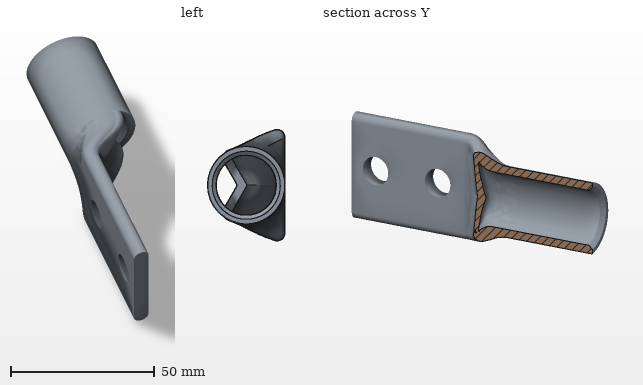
import cadquery as cq
import math


total_length = 101.4
barrel_length = 35.0
neck_end = 54.7

barrel_radius = 13.5
bore_radius = 10.4
mouth_radius = 11.9
mouth_depth = 1.5

palm_width = 38.8
palm_thickness = 5.5
hole_diameter = 10.3
hole_spacing = 25.3
first_hole_x = 66.3
hole_count = 2

keel_edge_y = -5.3
shoulder_y = 5.2
roof_angle = math.radians(60)
outer_valley_y = 3.1
inner_valley_y = -0.3
roof_edge_z = 7.8
crest_y = 8.1
crest_z = 9.7
valley_half_width = 0.5

seam_gap = 0.2
shoulder_angle = 45
roof_delay = 1.3
neck_sections = 7
straight_tolerance = 1.03e-06

palm_half_width = palm_width / 2
edge_radius = palm_thickness / 2
palm_back_y = -barrel_radius
palm_middle_y = palm_back_y + edge_radius
palm_front_y = palm_back_y + palm_thickness
palm_flat_z = palm_half_width - edge_radius



def palm_edge(degrees):
    """Point on the round +Z edge of the palm, at an angle up from the mid-plane towards +Y."""
    angle = math.radians(degrees)
    return (palm_middle_y + edge_radius * math.sin(angle), palm_flat_z + edge_radius * math.cos(angle))


def on_circle(radius, y):
    """Point (y, z) on the +Z half of a circle about the barrel axis."""
    return (y, math.sqrt(radius**2 - y**2))


def roof_y(valley_y, z):
    """Y of the sloping roof plane at height z."""
    return valley_y + z / math.tan(roof_angle)


def steady(t):
    """Blend from 0 to 1 that starts and ends level."""
    return t * t * (3 - 2 * t)


def delayed(t):
    """Blend from 0 to 1 that stays longer at its start, so the roof drops late."""
    return steady(t**roof_delay)


def mix(start, end, blend):
    """Point that is the given share of the way from start to end."""
    return tuple(a + (b - a) * blend for a, b in zip(start, end))


def midpoint(a, b):
    return mix(a, b, 0.5)


def arc_middle(radius, a, b):
    """Point halfway along the arc from a to b about the barrel axis."""
    angle = (math.atan2(a[1], a[0]) + math.atan2(b[1], b[0])) / 2
    return (radius * math.cos(angle), radius * math.sin(angle))


def section_wire(half, x):
    """Closed wire at x from the (y, z) points of its +Z half, listed from keel to valley.

    The keel point is the middle of the first edge, and arc ends and arc middles then alternate.
    """
    other_half = [(y, -z) for y, z in reversed(half[1:-1])]
    path = half[1:] + other_half + half[:2]
    points = [cq.Vector(x, y, z) for y, z in path]
    edges = []
    for start, middle, end in zip(points[0::2], points[1::2], points[2::2]):
        is_straight = (middle - start).cross(end - start).Length < straight_tolerance
        if is_straight:
            edges.append(cq.Edge.makeLine(start, end))
        else:
            edges.append(cq.Edge.makeThreePointArc(start, middle, end))
    return cq.Wire.assembleEdges(edges)


def neck_loft(tracks):
    """Loft whose section points each travel from a barrel point to a palm point by their own blend."""
    wires = []
    for i in range(neck_sections):
        t = i / (neck_sections - 1)
        half = [mix(barrel_point, palm_point, blend(t)) for barrel_point, palm_point, blend in tracks]
        wires.append(section_wire(half, barrel_length + (neck_end - barrel_length) * t))
    return cq.Workplane(cq.Solid.makeLoft(wires))


def neck_body():
    """Outside of the neck: keel, round sides, rounded crests and V roof, flattening to the palm."""
    keel_edge = on_circle(barrel_radius, keel_edge_y)
    shoulder = on_circle(barrel_radius, shoulder_y)
    side = arc_middle(barrel_radius, keel_edge, shoulder)
    roof_edge = (roof_y(outer_valley_y, roof_edge_z), roof_edge_z)
    valley_edge = (roof_y(outer_valley_y, valley_half_width), valley_half_width)
    valley = (roof_y(outer_valley_y, valley_half_width / 2), 0)
    palm_roof_edge = (palm_front_y, palm_flat_z)
    palm_valley_edge = (palm_front_y, valley_half_width)
    return neck_loft([
        ((-barrel_radius, 0), (palm_back_y, 0), steady),
        (keel_edge, (palm_back_y, palm_flat_z), steady),
        (side, palm_edge((shoulder_angle - 90) / 2), steady),
        (shoulder, palm_edge(shoulder_angle), delayed),
        ((crest_y, crest_z), palm_edge((shoulder_angle + 90) / 2), delayed),
        (roof_edge, palm_roof_edge, delayed),
        (midpoint(roof_edge, valley_edge), midpoint(palm_roof_edge, palm_valley_edge), delayed),
        (valley_edge, palm_valley_edge, delayed),
        (valley, (palm_front_y, 0), delayed),
    ])


def neck_cavity():
    """Inside of the neck: the bore under its V roof, closing to a thin seam inside the palm end."""
    chord_middle = -inner_valley_y * math.cos(roof_angle)
    half_chord = math.sqrt(bore_radius**2 - (inner_valley_y * math.sin(roof_angle))**2)
    corner_z = (chord_middle + half_chord) * math.sin(roof_angle)
    corner = (roof_y(inner_valley_y, corner_z), corner_z)
    valley = (inner_valley_y, 0)
    seam_back = (palm_middle_y - seam_gap / 2, 0)
    seam_front = (palm_middle_y + seam_gap / 2, 0)
    seam_tip = (palm_middle_y, palm_flat_z)
    return neck_loft([
        ((-bore_radius, 0), seam_back, steady),
        (corner, seam_tip, delayed),
        (midpoint(corner, valley), midpoint(seam_tip, seam_front), delayed),
        (valley, seam_front, delayed),
    ])


def barrel():
    """Tube with a countersunk mouth, turned about the X axis."""
    return (
        cq.Workplane("XZ")
        .moveTo(0, mouth_radius)
        .lineTo(0, barrel_radius)
        .lineTo(barrel_length, barrel_radius)
        .lineTo(barrel_length, bore_radius)
        .lineTo(mouth_depth, bore_radius)
        .close()
        .revolve(360, (0, 0), (1, 0))
    )


def palm():
    """Flat plate with fully rounded long edges and a row of bolt holes."""
    plate = (
        cq.Workplane("YZ", origin=(neck_end, palm_middle_y, 0))
        .slot2D(palm_width, palm_thickness, 90)
        .extrude(total_length - neck_end)
    )
    hole_places = [(first_hole_x + i * hole_spacing, 0) for i in range(hole_count)]
    holes = (
        cq.Workplane("XZ", origin=(0, palm_front_y, 0))
        .pushPoints(hole_places)
        .circle(hole_diameter / 2)
        .extrude(palm_thickness)
    )
    return plate.cut(holes)


result = barrel().union(neck_body().cut(neck_cavity())).union(palm())